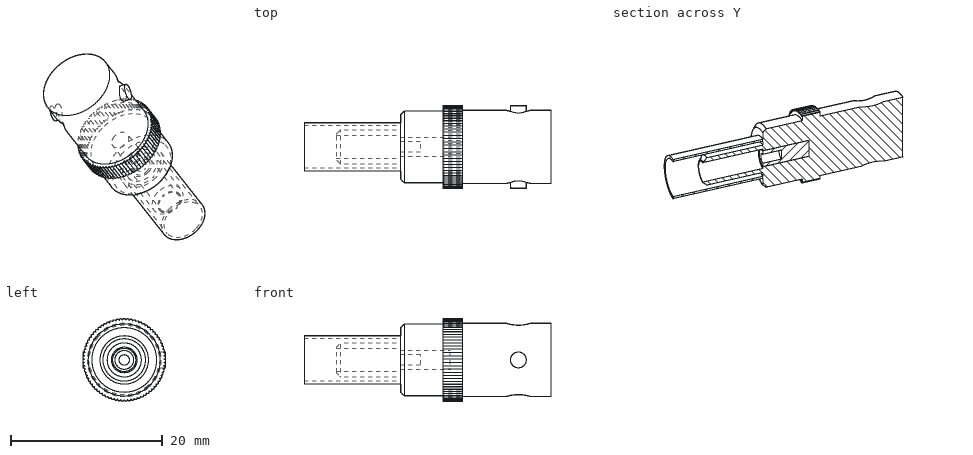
import cadquery as cq
import math

total_length = 32.52

ferrule_length = 12.68
ferrule_radius = 3.2
ferrule_bore_radius = 2.8

rear_radius = 4.75
rear_chamfer = 0.5
front_radius = 4.85
collar_start = 18.28
collar_end = 20.8

groove_center = 28.2
groove_width = 3.22
groove_floor_radius = 4.6
groove_start = groove_center - groove_width / 2
groove_end = groove_center + groove_width / 2

lug_radius = 1.05
lug_span = 10.9
lug_tip = lug_span / 2

knurl_radius = lug_tip
knurl_count = 75
knurl_depth = 0.2

stem_start = 4.23
stem_radius = 2.25
stem_chamfer = 0.55
stem_bore_radius = 1.53

contact_start = ferrule_length
contact_length = 6.5
contact_radius = 1.25
wire_hole_radius = 0.68
wire_hole_depth = 2.6


def rod(start, length, radius):
    """Cylinder on the X axis, beginning at X = start."""
    return cq.Workplane("YZ", origin=(start, 0, 0)).circle(radius).extrude(length)


def make_ferrule():
    bore = rod(0, ferrule_length, ferrule_bore_radius)
    return rod(0, ferrule_length, ferrule_radius).cut(bore)


def make_turned_shell():
    """Stem, rear barrel and grooved front barrel as one turned profile."""
    profile = (
        cq.Workplane("XY")
        .moveTo(stem_start, 0)
        .lineTo(stem_start, stem_radius - stem_chamfer)
        .lineTo(stem_start + stem_chamfer, stem_radius)
        .lineTo(ferrule_length, stem_radius)
        .lineTo(ferrule_length, rear_radius - rear_chamfer)
        .lineTo(ferrule_length + rear_chamfer, rear_radius)
        .lineTo(collar_start, rear_radius)
        .lineTo(collar_start, front_radius)
        .lineTo(groove_start, front_radius)
        .threePointArc((groove_center, groove_floor_radius), (groove_end, front_radius))
        .lineTo(total_length, front_radius)
        .lineTo(total_length, 0)
        .close()
    )
    return profile.revolve(360, (0, 0, 0), (1, 0, 0))


def make_knurled_collar():
    """Disc rimmed with rounded teeth and sharp valleys; one tooth is centered on +Z."""
    pitch = 2 * math.pi / knurl_count
    root_radius = knurl_radius - knurl_depth

    def rim_point(radius, angle):
        return (radius * math.cos(angle), radius * math.sin(angle))

    first_valley = math.pi / 2 - pitch / 2
    outline = cq.Workplane("YZ", origin=(collar_start, 0, 0)).moveTo(*rim_point(root_radius, first_valley))
    for tooth in range(knurl_count):
        valley = first_valley + tooth * pitch
        tip = rim_point(knurl_radius, valley + pitch / 2)
        next_valley = rim_point(root_radius, valley + pitch)
        outline = outline.threePointArc(tip, next_valley)
    return outline.close().extrude(collar_end - collar_start)


def make_lugs():
    """One cross pin whose two ends stand out of the groove."""
    start = cq.Workplane("XZ", origin=(groove_center, lug_tip, 0))
    return start.circle(lug_radius).extrude(lug_span)


def make_housing():
    stem_bore = rod(stem_start, ferrule_length - stem_start, stem_bore_radius)
    contact_seat = rod(contact_start, contact_length, contact_radius)
    solid = make_turned_shell().union(make_knurled_collar()).union(make_lugs())
    return solid.cut(stem_bore).cut(contact_seat)


def make_contact():
    wire_hole = rod(contact_start, wire_hole_depth, wire_hole_radius)
    return rod(contact_start, contact_length, contact_radius).cut(wire_hole)


ferrule = make_ferrule()
housing = make_housing()
contact = make_contact()

result = cq.Compound.makeCompound([ferrule.val(), housing.val(), contact.val()])